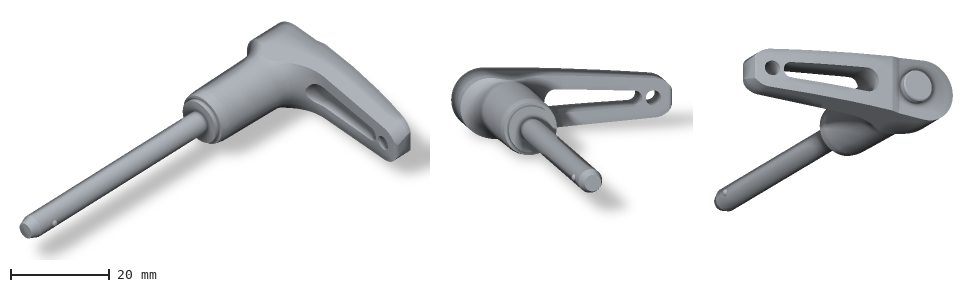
import cadquery as cq
import math

total_length = 82.0

pin_radius = 2.5
tip_radius = 1.7
tip_length = 2.05
ball_radius = 0.7
ball_y = 5.9
ball_reach = 2.95

collar_y = 49.7
collar_radius = 4.75
barrel_bottom_y = 50.7
barrel_bottom_radius = 5.5
barrel_round_y = 53.0
barrel_round_radius = 5.8
barrel_round_bulge = 0.1
barrel_top_y = 67.1
barrel_top_radius = 6.1
neck_fillet_radius = 6.15

handle_width = 12.7
head_radius = handle_width / 2
head_left_x = -9.1
head_x = head_left_x + head_radius
end_radius = 4.1
end_x = 31.25
end_hole_x = 31.1
end_hole_radius = 1.55
slot_head_radius = 2.55
slot_head_x = 10.8
slot_end_radius = 1.6
slot_end_x = 27.15

head_top_y = 80.0
lever_rise_x = 3.45
lever_peak_x = 5.25
lever_peak_y = 80.5
lever_arc_x = 16.8
lever_arc_y = 79.6
lever_tip_x = 34.5
lever_tip_top_y = 76.0
lever_right_x = 35.2
lever_tip_bottom_y = 71.05
lever_tip_round = 0.8
lever_top_round = 0.3

button_radius = 3.3
button_chamfer = 0.25

neck_top_y = barrel_top_y + neck_fillet_radius
neck_outer_radius = barrel_top_radius + neck_fillet_radius
diagonal = math.sqrt(0.5)


def tapered_prism(big_x, big_radius, small_x, small_radius):
    """Two end arcs joined by tangent lines, extruded over the whole length in Y."""
    sine = (big_radius - small_radius) / (small_x - big_x)
    cosine = math.sqrt(1 - sine**2)
    big_tangent = (big_x + big_radius * sine, big_radius * cosine)
    small_tangent = (small_x + small_radius * sine, small_radius * cosine)
    return (
        cq.Workplane("XZ")
        .moveTo(*big_tangent)
        .lineTo(*small_tangent)
        .threePointArc((small_x + small_radius, 0), (small_tangent[0], -small_tangent[1]))
        .lineTo(big_tangent[0], -big_tangent[1])
        .threePointArc((big_x - big_radius, 0), big_tangent)
        .close()
        .extrude(-total_length)
    )


def revolve_about_pin(profile):
    return profile.close().revolve(360, (0, 0, 0), (0, 1, 0))


def make_lever_side():
    """Side profile of the head and its curved lever."""
    side = (
        cq.Workplane("XY")
        .moveTo(head_left_x, neck_top_y)
        .lineTo(head_left_x, head_top_y)
        .lineTo(lever_rise_x, head_top_y)
        .lineTo(lever_peak_x, lever_peak_y)
        .threePointArc((lever_arc_x, lever_arc_y), (lever_tip_x, lever_tip_top_y))
        .lineTo(lever_right_x, lever_tip_bottom_y)
        .lineTo(neck_outer_radius, neck_top_y)
        .close()
        .extrude(head_radius, both=True)
    )
    side = side.edges(cq.selectors.NearestToPointSelector((lever_right_x, lever_tip_bottom_y, 0)))
    side = side.fillet(lever_tip_round)
    side = side.edges(cq.selectors.NearestToPointSelector((lever_tip_x, lever_tip_top_y, 0)))
    return side.fillet(lever_top_round)


def make_neck():
    """Concave flare from the barrel to the underside of the lever."""
    arc_middle = (
        neck_outer_radius - neck_fillet_radius * diagonal,
        barrel_top_y + neck_fillet_radius * diagonal,
    )
    return revolve_about_pin(
        cq.Workplane("XY")
        .moveTo(0, barrel_top_y)
        .lineTo(barrel_top_radius, barrel_top_y)
        .threePointArc(arc_middle, (neck_outer_radius, neck_top_y))
        .lineTo(0, neck_top_y)
    )


def make_handle():
    outline = tapered_prism(head_x, head_radius, end_x, end_radius)
    body = make_lever_side().union(make_neck()).intersect(outline)
    slot = tapered_prism(slot_head_x, slot_head_radius, slot_end_x, slot_end_radius)
    hole = cq.Workplane("XZ").center(end_hole_x, 0).circle(end_hole_radius).extrude(-total_length)
    return body.cut(slot).cut(hole)


def make_spindle():
    """Pin, collar and barrel as one turned body."""
    round_middle = (
        (barrel_bottom_radius + barrel_round_radius) / 2 + barrel_round_bulge,
        (barrel_bottom_y + barrel_round_y) / 2,
    )
    return revolve_about_pin(
        cq.Workplane("XY")
        .lineTo(tip_radius, 0)
        .lineTo(pin_radius, tip_length)
        .lineTo(pin_radius, collar_y)
        .lineTo(collar_radius, collar_y)
        .lineTo(collar_radius, barrel_bottom_y)
        .lineTo(barrel_bottom_radius, barrel_bottom_y)
        .threePointArc(round_middle, (barrel_round_radius, barrel_round_y))
        .lineTo(barrel_top_radius, barrel_top_y)
        .lineTo(0, barrel_top_y)
    )


def make_button():
    button = cq.Workplane("XZ", origin=(0, neck_top_y, 0)).circle(button_radius)
    return button.extrude(neck_top_y - total_length).faces(">Y").chamfer(button_chamfer)


result = make_handle().union(make_spindle()).union(make_button())
for side in (-1, 1):
    ball = cq.Workplane("XY").sphere(ball_radius)
    result = result.union(ball.translate((side * (ball_reach - ball_radius), ball_y, 0)))